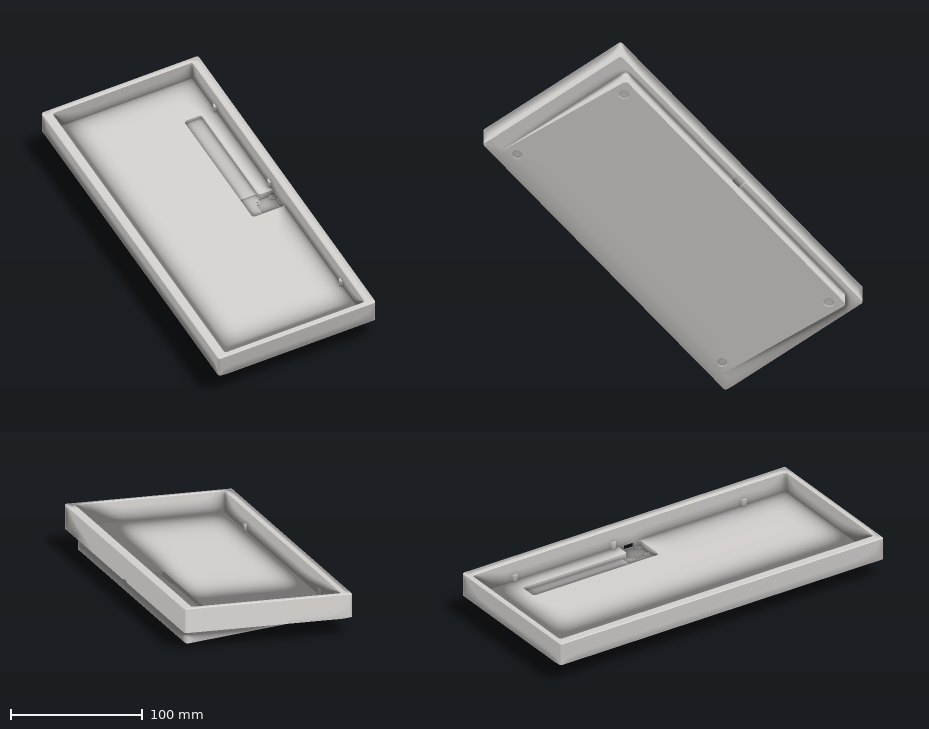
import cadquery as cq
import math

LENGTH = 295.7
WIDTH = 134.0
TOTAL_HEIGHT = 32.0
TRAY_HEIGHT = 19.2
CORNER_RADIUS = 2.0
RIM_CHAMFER = 0.5

END_WALL = 4.5
SIDE_WALL = 7.5
FLOOR_Z = 1.8
CAVITY_CORNER_RADIUS = 1.8

WEDGE_LENGTH = 268.5
WEDGE_REAR_INSET = 5.5
WEDGE_CORNER_RADIUS = 3.0
TILT = 6.0

FOOT_DIAMETER = 8.3
FOOT_DEPTH = 1.0
FOOT_X = 124.8
FOOT_Y = 51.7

CHANNEL_LEFT = -105.3
CHANNEL_FRONT = 32.8
CHANNEL_REAR = 48.0
CHANNEL_DEPTH = 3.5
CHANNEL_CORNER_RADIUS = 2.0
BAY_LEFT = -14.2
BAY_DEPTH = 4.7
MODULE_LENGTH = 19.2
MODULE_WIDTH = 16.3
MODULE_CORNER_RADIUS = 2.0
RELIEF_DEPTH = 1.2

SCREW_X = 6.8
SCREW_Y = 6.2
SCREW_DIAMETER = 1.6
SCREW_DEPTH = 3.0
BOSS_RADIUS = 1.92

PORT_WIDTH = 9.0
PORT_HEIGHT = 4.0

RIB_HEIGHT = 6.0
RIB_PROJECTION = 1.8
REAR_RIB_X = (-104.7, -14.5, 104.7)
REAR_RIB_RADIUS = 2.7
FRONT_RIB_X = (-90.5, 90.5)
FRONT_RIB_WIDTH = 3.8

FRONT_Y = -WIDTH / 2
CAVITY_REAR = WIDTH / 2 - SIDE_WALL
WEDGE_REAR = WIDTH / 2 - WEDGE_REAR_INSET
BOTTOM_Z = TRAY_HEIGHT - TOTAL_HEIGHT
SLOPE = math.tan(math.radians(TILT))
CHANNEL_RIGHT = MODULE_LENGTH / 2
CHANNEL_FLOOR_Z = FLOOR_Z - CHANNEL_DEPTH
BAY_FLOOR_Z = FLOOR_Z - BAY_DEPTH
RELIEF_FLOOR_Z = BAY_FLOOR_Z - RELIEF_DEPTH
MODULE_Y = CAVITY_REAR - MODULE_WIDTH / 2


def underside_z(y):
    """Height of the sloping underside at a given y."""
    return BOTTOM_Z + SLOPE * (WEDGE_REAR - y)


def block(x0, x1, y0, y1, z0, z1):
    """Axis-aligned box given by its limits."""
    return cq.Workplane("XY").box(x1 - x0, y1 - y0, z1 - z0, centered=False).translate((x0, y0, z0))


def make_body():
    """Tray and wedge in one, with the underside cut to the tilt plane."""
    tray = (
        cq.Workplane("XY")
        .rect(LENGTH, WIDTH)
        .extrude(TRAY_HEIGHT)
        .edges("|Z").fillet(CORNER_RADIUS)
    )
    wedge = block(-WEDGE_LENGTH / 2, WEDGE_LENGTH / 2, FRONT_Y + CORNER_RADIUS, WEDGE_REAR, BOTTOM_Z, FLOOR_Z)
    wedge = wedge.edges("|Z and >Y").fillet(WEDGE_CORNER_RADIUS)
    below_tilt_plane = (
        cq.Workplane("YZ")
        .polyline([
            (FRONT_Y, underside_z(FRONT_Y)),
            (WEDGE_REAR, BOTTOM_Z),
            (FRONT_Y, BOTTOM_Z),
        ])
        .close()
        .extrude(LENGTH / 2, both=True)
    )
    return tray.union(wedge).cut(below_tilt_plane)


def make_cavity():
    """Main cavity, open at the rim."""
    return (
        cq.Workplane("XY", origin=(0, 0, FLOOR_Z))
        .rect(LENGTH - 2 * END_WALL, 2 * CAVITY_REAR)
        .extrude(TRAY_HEIGHT - FLOOR_Z)
        .edges("|Z").fillet(CAVITY_CORNER_RADIUS)
    )


def make_channel():
    """Shallow cable channel opening into the deeper module bay."""
    channel = block(CHANNEL_LEFT, CHANNEL_RIGHT, CHANNEL_FRONT, CHANNEL_REAR, CHANNEL_FLOOR_Z, FLOOR_Z)
    channel = channel.edges("|Z").fillet(CHANNEL_CORNER_RADIUS)
    bay = block(BAY_LEFT, CHANNEL_RIGHT, CHANNEL_FRONT, CHANNEL_REAR, BAY_FLOOR_Z, FLOOR_Z)
    bay = bay.edges("|Z and >X and <Y").fillet(CHANNEL_CORNER_RADIUS)
    module = block(-MODULE_LENGTH / 2, MODULE_LENGTH / 2, MODULE_Y - MODULE_WIDTH / 2, CAVITY_REAR,
                   BAY_FLOOR_Z, FLOOR_Z)
    module = module.edges("|Z and >Y").fillet(MODULE_CORNER_RADIUS)
    corner_point = (-CHANNEL_RIGHT, CHANNEL_REAR, FLOOR_Z - CHANNEL_DEPTH / 2)
    inner_corner = cq.selectors.NearestToPointSelector(corner_point)
    pocket = channel.union(bay).union(module)
    return pocket.edges("|Z").edges(inner_corner).fillet(CHANNEL_CORNER_RADIUS)


def make_module_relief():
    """Recess under the module that leaves a round-nosed boss in each corner."""
    relief = block(-MODULE_LENGTH / 2, MODULE_LENGTH / 2, MODULE_Y - MODULE_WIDTH / 2, CAVITY_REAR,
                   RELIEF_FLOOR_Z, BAY_FLOOR_Z)
    corner_x = MODULE_LENGTH / 2 - SCREW_X + BOSS_RADIUS
    corner_y = MODULE_WIDTH / 2 - SCREW_Y + BOSS_RADIUS
    for side_x in (-1, 1):
        for side_y in (-1, 1):
            boss = (
                cq.Workplane("XY", origin=(
                    side_x * (MODULE_LENGTH - corner_x) / 2,
                    MODULE_Y + side_y * (MODULE_WIDTH - corner_y) / 2,
                    RELIEF_FLOOR_Z,
                ))
                .rect(corner_x, corner_y)
                .extrude(RELIEF_DEPTH)
                .edges("|Z")
                .edges(">X" if side_x < 0 else "<X")
                .edges(">Y" if side_y < 0 else "<Y")
                .fillet(BOSS_RADIUS)
            )
            relief = relief.cut(boss)
    return relief


def make_screw_holes():
    """Blind pilot holes, one in each boss."""
    return (
        cq.Workplane("XY", origin=(0, MODULE_Y, BAY_FLOOR_Z))
        .rect(2 * SCREW_X, 2 * SCREW_Y, forConstruction=True)
        .vertices()
        .circle(SCREW_DIAMETER / 2)
        .extrude(-SCREW_DEPTH)
    )


def make_port():
    """Opening from the bay floor out through the rear wall."""
    top_z = BAY_FLOOR_Z + PORT_HEIGHT
    return block(-PORT_WIDTH / 2, PORT_WIDTH / 2, MODULE_Y, WIDTH / 2, BAY_FLOOR_Z, top_z)


def make_foot_recess(x, y):
    """Round recess square to the sloping underside."""
    inward = cq.Vector(0, SLOPE, 1)
    plane = cq.Plane(origin=(x, y, underside_z(y)), xDir=(1, 0, 0), normal=inward)
    return cq.Workplane(plane).circle(FOOT_DIAMETER / 2).extrude(FOOT_DEPTH)


def make_ribs():
    """Round ribs on the rear wall and square ribs on the front wall."""
    ribs = cq.Workplane("XY")
    for x in REAR_RIB_X:
        center_y = CAVITY_REAR - RIB_PROJECTION + REAR_RIB_RADIUS
        ribs = ribs.union(
            cq.Workplane("XY", origin=(x, center_y, FLOOR_Z)).circle(REAR_RIB_RADIUS).extrude(RIB_HEIGHT)
        )
    for x in FRONT_RIB_X:
        ribs = ribs.union(block(
            x - FRONT_RIB_WIDTH / 2, x + FRONT_RIB_WIDTH / 2,
            -CAVITY_REAR - RIB_PROJECTION, -CAVITY_REAR + RIB_PROJECTION,
            FLOOR_Z, FLOOR_Z + RIB_HEIGHT,
        ))
    return ribs


result = make_body().cut(make_cavity())
result = result.faces(">Z").edges().chamfer(RIM_CHAMFER)
result = result.union(make_ribs())
result = result.cut(make_channel()).cut(make_module_relief()).cut(make_screw_holes()).cut(make_port())
for foot_x in (-FOOT_X, FOOT_X):
    for foot_y in (-FOOT_Y, FOOT_Y):
        result = result.cut(make_foot_recess(foot_x, foot_y))